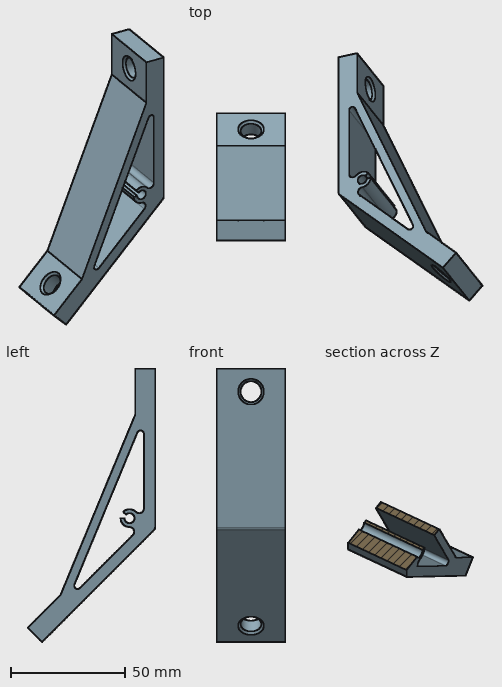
import cadquery as cq
import math

HEIGHT = 119.5
WIDTH = 30.0
ARM_THICKNESS = 8.8
BEND_ANGLE = math.radians(45)
BEND_RADIUS = 1.5
ARM_LENGTH = HEIGHT / (1 + math.cos(BEND_ANGLE))

BRACE_REACH = 49.8
BRACE_THICKNESS = 4.0
WINDOW_WALL = 5.0
WINDOW_CORNER_RADIUS = 1.4

CLIP_DISTANCE = 12.2
CLIP_OUTER_RADIUS = 4.0
CLIP_BORE_RADIUS = 2.2
CLIP_OPENING = math.radians(45)
CLIP_FILLET_RADIUS = 2.0

HOLE_DIAMETER = 9.1
HOLE_END_DISTANCE = 10.0
HOLE_CHAMFER = 1.1

BEND_Z = HEIGHT - ARM_LENGTH
BISECTOR_ANGLE = BEND_ANGLE / 2


def upper(along, depth):
    """Y, Z of a point along the upright arm from the bend, at a depth behind its front face."""
    return (depth, BEND_Z + along)


def lower(along, depth):
    """Mirror image of upper() about the bend bisector, lying on the sloping arm."""
    cosine = math.cos(BEND_ANGLE)
    sine = math.sin(BEND_ANGLE)
    return (along * sine + depth * cosine, BEND_Z - along * cosine + depth * sine)


def polar(radius, angle):
    """Y, Z offset at an angle measured from +Y towards +Z."""
    return (radius * math.cos(angle), radius * math.sin(angle))


def shifted(point, offset):
    return (point[0] + offset[0], point[1] + offset[1])


CLIP_CENTER = shifted((0, BEND_Z), polar(CLIP_DISTANCE, BISECTOR_ANGLE))


def section():
    """YZ sketch plane at the left side of the part."""
    return cq.Workplane("YZ").workplane(offset=-WIDTH / 2)


def make_body():
    outline = [
        upper(0, 0),
        upper(ARM_LENGTH, 0),
        upper(ARM_LENGTH, ARM_THICKNESS),
        upper(BRACE_REACH, ARM_THICKNESS),
        lower(BRACE_REACH, ARM_THICKNESS),
        lower(ARM_LENGTH, ARM_THICKNESS),
        lower(ARM_LENGTH, 0),
    ]
    body = section().polyline(outline).close().extrude(WIDTH)
    return body.edges(cq.selectors.NearestToPointSelector((0, 0, BEND_Z))).fillet(BEND_RADIUS)


def make_window():
    """Triangular window whose bend corner wraps around the outside of the clip."""
    brace_depth = ARM_THICKNESS - WINDOW_WALL
    tip_along = BRACE_REACH + (
        brace_depth * math.cos(BISECTOR_ANGLE) - BRACE_THICKNESS
    ) / math.sin(BISECTOR_ANGLE)

    clip_along = CLIP_DISTANCE * math.sin(BISECTOR_ANGLE)
    clip_depth = CLIP_DISTANCE * math.cos(BISECTOR_ANGLE)
    fillet_depth = WINDOW_WALL + CLIP_FILLET_RADIUS
    center_distance = CLIP_OUTER_RADIUS + CLIP_FILLET_RADIUS
    fillet_along = clip_along + math.sqrt(center_distance**2 - (clip_depth - fillet_depth) ** 2)

    touch_ratio = CLIP_FILLET_RADIUS / center_distance
    touch_along = fillet_along + touch_ratio * (clip_along - fillet_along)
    touch_depth = fillet_depth + touch_ratio * (clip_depth - fillet_depth)
    touch_angle = math.atan2(touch_along - fillet_along, touch_depth - fillet_depth)
    middle_angle = (touch_angle - math.pi) / 2
    middle_offset = polar(CLIP_FILLET_RADIUS, middle_angle)
    middle_along = fillet_along + middle_offset[1]
    middle_depth = fillet_depth + middle_offset[0]

    clip_far_point = shifted(CLIP_CENTER, polar(CLIP_OUTER_RADIUS, BISECTOR_ANGLE))
    window = (
        section()
        .moveTo(*upper(tip_along, WINDOW_WALL))
        .lineTo(*upper(fillet_along, WINDOW_WALL))
        .threePointArc(upper(middle_along, middle_depth), upper(touch_along, touch_depth))
        .threePointArc(clip_far_point, lower(touch_along, touch_depth))
        .threePointArc(lower(middle_along, middle_depth), lower(fillet_along, WINDOW_WALL))
        .lineTo(*lower(tip_along, WINDOW_WALL))
        .close()
        .extrude(WIDTH)
    )
    for tip in (upper(tip_along, WINDOW_WALL), lower(tip_along, WINDOW_WALL)):
        corner = cq.selectors.NearestToPointSelector((0, *tip))
        window = window.edges(corner).fillet(WINDOW_CORNER_RADIUS)
    return window


def make_clip_cut():
    """Clip bore plus the radial-sided opening that faces the brace."""
    bore = section().center(*CLIP_CENTER).circle(CLIP_BORE_RADIUS).extrude(WIDTH)
    wedge_radius = CLIP_OUTER_RADIUS / math.cos(CLIP_OPENING / 2)
    opening = (
        section()
        .moveTo(*CLIP_CENTER)
        .lineTo(*shifted(CLIP_CENTER, polar(wedge_radius, BISECTOR_ANGLE - CLIP_OPENING / 2)))
        .lineTo(*shifted(CLIP_CENTER, polar(wedge_radius, BISECTOR_ANGLE + CLIP_OPENING / 2)))
        .close()
        .extrude(WIDTH)
    )
    return bore.union(opening)


def make_hole(point, direction):
    """Through hole from a front-face point, chamfered at both faces of the arm."""
    hole_radius = HOLE_DIAMETER / 2
    mouth_radius = hole_radius + HOLE_CHAMFER
    axis_plane = cq.Plane(origin=(0, *point), xDir=(1, 0, 0), normal=(0, *direction))
    cylinder = cq.Workplane(axis_plane).circle(hole_radius).extrude(ARM_THICKNESS)
    origin = cq.Vector(0, *point)
    axis = cq.Vector(0, *direction)
    front_cone = cq.Solid.makeCone(mouth_radius, hole_radius, HOLE_CHAMFER, origin, axis)
    back_origin = origin + axis * ARM_THICKNESS
    back_cone = cq.Solid.makeCone(mouth_radius, hole_radius, HOLE_CHAMFER, back_origin, -axis)
    return cylinder.union(cq.Workplane(front_cone)).union(cq.Workplane(back_cone))


hole_along = ARM_LENGTH - HOLE_END_DISTANCE
result = make_body().cut(make_window()).cut(make_clip_cut())
result = result.cut(make_hole(upper(hole_along, 0), polar(1, 0)))
result = result.cut(make_hole(lower(hole_along, 0), polar(1, BEND_ANGLE)))